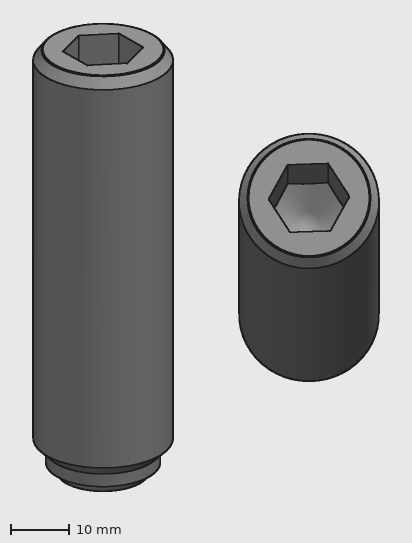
import cadquery as cq
import math

length = 80.0
screw_radius = 12.0
top_face_radius = 10.3
top_edge_radius = 10.6
top_edge_height = 0.2
top_chamfer_height = 2.0
neck_radius = 9.8
neck_bottom = 1.8
neck_height = 2.4
bottom_chamfer_height = screw_radius - neck_radius

hex_across_flats = 12.0
hex_corner_radius = hex_across_flats / math.sqrt(3)
hex_depth = 12.0
floor_cone_angle = 120.0
floor_cone_height = hex_corner_radius / math.tan(math.radians(floor_cone_angle / 2))

ball_radius = 9.0
flat_radius = 7.8
ball_center_height = math.sqrt(ball_radius**2 - flat_radius**2)


def make_ball():
    """Ball with its lower cap cut off at Z = 0."""
    ball_top = ball_center_height + ball_radius
    profile = (
        cq.Workplane("XZ")
        .moveTo(0, 0)
        .lineTo(flat_radius, 0)
        .threePointArc((ball_radius, ball_center_height), (0, ball_top))
        .close()
    )
    return profile.revolve(360, (0, 0, 0), (0, 1, 0))


def make_hex_socket():
    """Hexagonal prism ending in a cone, clipped to the hexagon."""
    socket_bottom = length - hex_depth
    cone_tip = socket_bottom - floor_cone_height
    hexagon = (
        cq.Workplane("XY", origin=(0, 0, cone_tip))
        .polygon(6, 2 * hex_corner_radius)
        .extrude(length - cone_tip)
    )
    drill = (
        cq.Workplane("XZ")
        .polyline([
            (0, cone_tip),
            (hex_corner_radius, socket_bottom),
            (hex_corner_radius, length),
            (0, length),
        ])
        .close()
        .revolve(360, (0, 0, 0), (0, 1, 0))
    )
    return hexagon.intersect(drill)


def make_screw(ball):
    """Turned screw with a hexagon socket above and a seat for the ball below."""
    neck_top = neck_bottom + neck_height
    blank = (
        cq.Workplane("XZ")
        .polyline([
            (0, neck_bottom),
            (neck_radius, neck_bottom),
            (neck_radius, neck_top),
            (screw_radius, neck_top + bottom_chamfer_height),
            (screw_radius, length - top_chamfer_height),
            (top_edge_radius, length - top_edge_height),
            (top_face_radius, length),
            (0, length),
        ])
        .close()
        .revolve(360, (0, 0, 0), (0, 1, 0))
    )
    return blank.cut(make_hex_socket()).cut(ball)


thrust_ball = make_ball()
screw = make_screw(thrust_ball)

result = cq.Compound.makeCompound([screw.val(), thrust_ball.val()])